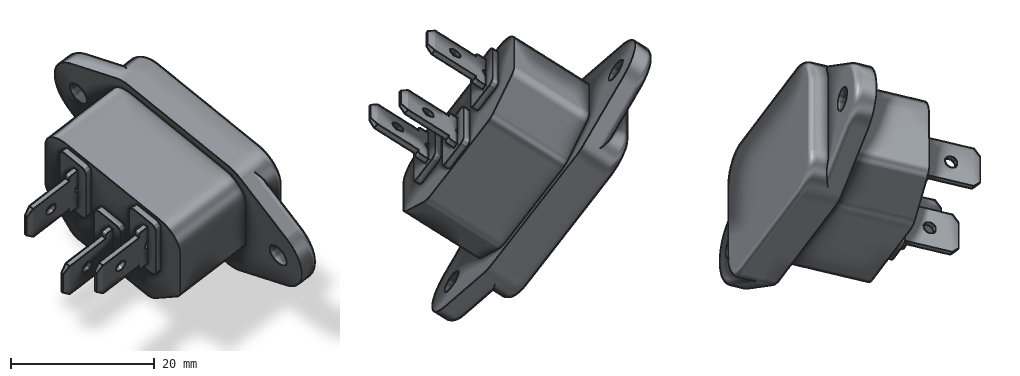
import cadquery as cq
import math


hood_width = 29.95
hood_height = 22.0
hood_depth = 6.0
hood_corner_radius = 5.0
edge_fillet = 1.05

flange_length = 49.45
flange_thickness = 3.15
ear_radius = 6.05
mount_hole_spacing = 39.95
mount_hole_diameter = 3.4

body_width = 27.0
body_height = 19.2
body_depth = 12.7
body_top_radius = 4.0
body_bevel = 5.7
body_bevel_radius = 2.5

pad_width = 5.3
pad_height = 11.2
pad_thickness = 1.0
pad_corner_radius = 1.0
pad_pitch = 6.95
pad_offset_z = 3.4
pad_face_y = -(body_depth + pad_thickness)

terminal_thickness = 0.8
terminal_offset_x = 0.6
terminal_reach = 9.7
lower_terminal_drop = 0.3
root_width = 8.2
root_reach = 1.65
root_corner_radius = 0.35
seat_depth = 2.45
blade_width = 6.3
tip_length = 1.05
tip_width = blade_width - 2 * tip_length
tip_thickness = 0.4
blade_hole_diameter = 1.85
outer_hole_reach = 5.2
inner_hole_reach = -0.45

positions = [
    (-pad_pitch, pad_offset_z, 0.0),
    (pad_pitch, pad_offset_z, 0.0),
    (0.0, -pad_offset_z, lower_terminal_drop),
]


def xz_plane(y):
    """Workplane at the given Y, with local axes X and Z; extruding goes towards -Y."""
    return cq.Workplane("XZ", origin=(0, y, 0))


def make_flange():
    """Outline of straight tangents joining the hood corner arcs to the ear arcs."""
    corner_x = hood_width / 2 - hood_corner_radius
    corner_z = hood_height / 2 - hood_corner_radius
    ear_x = flange_length / 2 - ear_radius
    run = ear_x - corner_x
    tangent_angle = math.atan2(run, corner_z)
    tangent_angle += math.asin((ear_radius - hood_corner_radius) / math.hypot(run, corner_z))
    middle_angle = (tangent_angle + math.pi / 2) / 2

    def corner_point(angle, side_x, side_z):
        x = corner_x + hood_corner_radius * math.cos(angle)
        z = corner_z + hood_corner_radius * math.sin(angle)
        return (side_x * x, side_z * z)

    def ear_point(side_x, side_z):
        x = ear_x + ear_radius * math.cos(tangent_angle)
        z = ear_radius * math.sin(tangent_angle)
        return (side_x * x, side_z * z)

    def corner_arc(end_angle, side_x, side_z):
        return (
            corner_point(middle_angle, side_x, side_z),
            corner_point(end_angle, side_x, side_z),
        )

    outline = xz_plane(0).moveTo(*corner_point(math.pi / 2, -1, 1))
    for side, first_z in ((1, 1), (-1, -1)):
        outline = (
            outline.lineTo(*corner_point(math.pi / 2, side, first_z))
            .threePointArc(*corner_arc(tangent_angle, side, first_z))
            .lineTo(*ear_point(side, first_z))
            .threePointArc((side * flange_length / 2, 0), ear_point(side, -first_z))
            .lineTo(*corner_point(tangent_angle, side, -first_z))
            .threePointArc(*corner_arc(math.pi / 2, side, -first_z))
        )
    flange = outline.close().extrude(-flange_thickness)
    return flange.faces(">Y").edges().fillet(edge_fillet)


def make_hood():
    hood = xz_plane(0).rect(hood_width, hood_height).extrude(-hood_depth)
    hood = hood.edges("|Y").fillet(hood_corner_radius)
    return hood.faces(">Y").edges().fillet(edge_fillet)


def make_body():
    """Block with two rounded upper corners and two bevelled lower corners."""
    half_width = body_width / 2
    half_height = body_height / 2
    bevel_x = half_width - body_bevel
    bevel_z = body_bevel - half_height
    body = (
        xz_plane(0)
        .polyline([
            (-half_width, half_height),
            (half_width, half_height),
            (half_width, bevel_z),
            (bevel_x, -half_height),
            (-bevel_x, -half_height),
            (-half_width, bevel_z),
        ])
        .close()
        .extrude(body_depth)
    )
    body = body.edges("|Y").edges(">Z").fillet(body_top_radius)
    lower_half = cq.selectors.BoxSelector(
        (-body_width, -body_depth, -body_height), (body_width, 0, 0), boundingbox=False
    )
    return body.edges("|Y").edges(lower_half).fillet(body_bevel_radius)


def make_pad(x, z):
    pad = xz_plane(-body_depth).center(x, z).rect(pad_width, pad_height).extrude(pad_thickness)
    return pad.edges("|Y").fillet(pad_corner_radius)


def make_terminal_root(x, z, drop):
    """Wide lower part of a terminal, seated in the housing."""
    root = (
        xz_plane(pad_face_y + seat_depth)
        .center(x + terminal_offset_x, z)
        .rect(terminal_thickness, root_width)
        .extrude(seat_depth + root_reach - drop)
    )
    return root.faces("<Y").edges("|X").fillet(root_corner_radius)


def make_terminal(x, z, drop):
    terminal_x = x + terminal_offset_x
    base_y = pad_face_y + drop
    blade_start = base_y - root_reach
    tip_start = base_y - terminal_reach + tip_length
    blade = (
        xz_plane(blade_start)
        .center(terminal_x, z)
        .rect(terminal_thickness, blade_width)
        .extrude(blade_start - tip_start)
    )
    tip = (
        xz_plane(tip_start)
        .center(terminal_x, z)
        .rect(terminal_thickness, blade_width)
        .workplane(offset=tip_length)
        .rect(tip_thickness, tip_width)
        .loft(ruled=True)
    )
    holes = (
        cq.Workplane("YZ", origin=(terminal_x, base_y, z))
        .pushPoints([(-outer_hole_reach, 0), (-inner_hole_reach, 0)])
        .circle(blade_hole_diameter / 2)
        .extrude(terminal_thickness, both=True)
    )
    return make_terminal_root(x, z, drop).union(blade).union(tip).cut(holes)


def make_housing():
    housing = make_hood().union(make_flange()).union(make_body())
    for x, z, drop in positions:
        housing = housing.union(make_pad(x, z))
        housing = housing.cut(make_terminal_root(x, z, drop))
    mount_holes = (
        xz_plane(0)
        .pushPoints([(-mount_hole_spacing / 2, 0), (mount_hole_spacing / 2, 0)])
        .circle(mount_hole_diameter / 2)
        .extrude(-flange_thickness)
    )
    return housing.cut(mount_holes)


housing = make_housing()
terminals = [make_terminal(x, z, drop) for x, z, drop in positions]

result = cq.Compound.makeCompound([housing.val(), *[terminal.val() for terminal in terminals]])